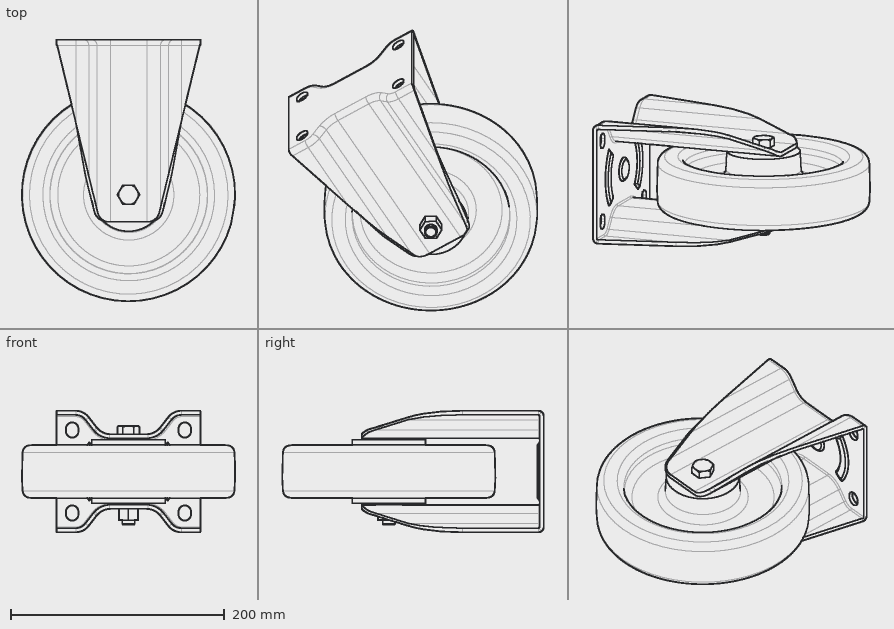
import cadquery as cq
import math


WHEEL_RADIUS = 100.0
AXLE_TO_PLATE_BACK = 245 - WHEEL_RADIUS
TREAD_EDGE_RADIUS = 98.7
SIDE_EDGE_HEIGHT = 23.8
SIDE_CREST_HEIGHT = 25.0
HUB_RADIUS = 34.3
HUB_HALF_LENGTH = 30.0
RIM_MOUTH_RADIUS = 74.2
WEB_HALF_THICKNESS = 5.5
MOULD_DRAFT = math.radians(3)
WHEEL_FILLET = 7.0

SHEET = 4.0
PLATE_WIDTH = 135.0
FORK_HEIGHT = 114.0
SADDLE_HEIGHT = 35.0
SADDLE_HALF_WIDTH = 17.0
SLOPE_ANGLE = math.radians(52)
SHOULDER_START = 49.5
SHOULDER_RADIUS = 15.5
PLATE_BEND_RADIUS = 5.5
TIP_REACH = 25.5
TAPER_START = 2.5
TAPER_SLOPE = 0.243
TIP_CORNER_RADIUS = 11.0

SLOT_SPACING_X = 105.4
SLOT_SPACING_Z = 77.7
SLOT_WIDTH = 11.5
SLOT_LENGTH = 14.0
BEAD_HEIGHT = 2.2
BEAD_INNER_RADIUS = 34.8
BEAD_OUTER_RADIUS = 45.8
BEAD_HALF_ANGLE = math.radians(36.5)
BOSS_RADIUS = 11.3
EMBOSS_CHAMFER = 2.0

BOLT_RADIUS = 6.0
BOLT_END = 50.0
BOLT_END_CHAMFER = 1.0
HEX_ACROSS_FLATS = 18.0
HEX_ACROSS_CORNERS = HEX_ACROSS_FLATS / math.cos(math.radians(30))
HEAD_HEIGHT = 7.5
HEAD_CHAMFER = 1.0
NUT_HEIGHT = 10.5
BUSH_RADIUS = 12.7
BUSH_HALF_LENGTH = SADDLE_HEIGHT - SHEET


def make_wheel():
    """Solid wheel: crowned tread, bulged side walls, thin web and drafted hub."""
    hub_foot = HUB_RADIUS + (HUB_HALF_LENGTH - WEB_HALF_THICKNESS) * math.tan(MOULD_DRAFT)
    rim_foot = RIM_MOUTH_RADIUS - (SIDE_EDGE_HEIGHT - WEB_HALF_THICKNESS) * math.tan(MOULD_DRAFT)
    side_middle = (RIM_MOUTH_RADIUS + TREAD_EDGE_RADIUS) / 2
    wheel = (
        cq.Workplane("XZ")
        .moveTo(BUSH_RADIUS, -HUB_HALF_LENGTH)
        .lineTo(BUSH_RADIUS, HUB_HALF_LENGTH)
        .lineTo(HUB_RADIUS, HUB_HALF_LENGTH)
        .lineTo(hub_foot, WEB_HALF_THICKNESS)
        .lineTo(rim_foot, WEB_HALF_THICKNESS)
        .lineTo(RIM_MOUTH_RADIUS, SIDE_EDGE_HEIGHT)
        .threePointArc((side_middle, SIDE_CREST_HEIGHT), (TREAD_EDGE_RADIUS, SIDE_EDGE_HEIGHT))
        .threePointArc((WHEEL_RADIUS, 0), (TREAD_EDGE_RADIUS, -SIDE_EDGE_HEIGHT))
        .threePointArc((side_middle, -SIDE_CREST_HEIGHT), (RIM_MOUTH_RADIUS, -SIDE_EDGE_HEIGHT))
        .lineTo(rim_foot, -WEB_HALF_THICKNESS)
        .lineTo(hub_foot, -WEB_HALF_THICKNESS)
        .lineTo(HUB_RADIUS, -HUB_HALF_LENGTH)
        .close()
        .revolve(360, (0, 0), (0, 1))
    )
    rounded_radii = (hub_foot, rim_foot, RIM_MOUTH_RADIUS, TREAD_EDGE_RADIUS)

    def is_rounded(edge):
        return edge.geomType() == "CIRCLE" and any(
            math.isclose(edge.radius(), radius, abs_tol=0.0002) for radius in rounded_radii
        )

    return wheel.edges().filter(is_rounded).fillet(WHEEL_FILLET)


def quarter_outline():
    """Quarter of the fork outline in XZ, under the outer face of half the upper leg."""
    top = FORK_HEIGHT / 2
    half_width = PLATE_WIDTH / 2
    sin_slope, cos_slope = math.sin(SLOPE_ANGLE), math.cos(SLOPE_ANGLE)

    slope_top_x = SHOULDER_START - SHOULDER_RADIUS * sin_slope
    slope_top_z = top - SHOULDER_RADIUS * (1 - cos_slope)
    run = slope_top_x - SADDLE_HALF_WIDTH
    drop = slope_top_z - SADDLE_HEIGHT
    saddle_radius = (run * sin_slope - drop * cos_slope) / (1 - cos_slope)
    slope_foot_x = SADDLE_HALF_WIDTH + saddle_radius * sin_slope
    slope_foot_z = SADDLE_HEIGHT + saddle_radius * (1 - cos_slope)

    half_slope = SLOPE_ANGLE / 2
    shoulder_mid_x = SHOULDER_START - SHOULDER_RADIUS * math.sin(half_slope)
    shoulder_mid_z = top - SHOULDER_RADIUS * (1 - math.cos(half_slope))
    saddle_mid_x = SADDLE_HALF_WIDTH + saddle_radius * math.sin(half_slope)
    saddle_mid_z = SADDLE_HEIGHT + saddle_radius * (1 - math.cos(half_slope))

    return (
        cq.Workplane("XZ")
        .lineTo(0, SADDLE_HEIGHT)
        .lineTo(SADDLE_HALF_WIDTH, SADDLE_HEIGHT)
        .threePointArc((saddle_mid_x, saddle_mid_z), (slope_foot_x, slope_foot_z))
        .lineTo(slope_top_x, slope_top_z)
        .threePointArc((shoulder_mid_x, shoulder_mid_z), (SHOULDER_START, top))
        .lineTo(half_width, top)
        .lineTo(half_width, 0)
        .close()
    )


def fork_blank():
    """Solid block bounded by the outer faces of the legs and the plate back."""
    quarter = quarter_outline().extrude(TIP_REACH + AXLE_TO_PLATE_BACK)
    quarter = quarter.translate((0, AXLE_TO_PLATE_BACK, 0))
    half = quarter.union(quarter.mirror("YZ"))
    return half.union(half.mirror("XY")).clean()


def leg_outline():
    """Prism along Z that tapers the legs from the plate to the rounded tip."""
    half_width = PLATE_WIDTH / 2
    taper_y = AXLE_TO_PLATE_BACK - TAPER_START
    tip_half_width = half_width - TAPER_SLOPE * (taper_y + TIP_REACH)
    return (
        cq.Workplane("XY")
        .polyline([
            (-half_width, AXLE_TO_PLATE_BACK),
            (-half_width, taper_y),
            (-tip_half_width, -TIP_REACH),
            (tip_half_width, -TIP_REACH),
            (half_width, taper_y),
            (half_width, AXLE_TO_PLATE_BACK),
        ])
        .close()
        .extrude(FORK_HEIGHT, both=True)
        .edges("|Z and <Y")
        .fillet(TIP_CORNER_RADIUS)
    )


def bent_sheet():
    """Skin of the blank, open at the tip and sides, thickened inwards to the sheet."""
    blank = fork_blank().faces(">Y").edges("not |Z").fillet(PLATE_BEND_RADIUS)
    outer_skin = cq.Shell.makeShell(blank.faces("not(<Y or <X or >X)").vals())
    trimmed_skin = outer_skin.intersect(leg_outline().val())
    sheet = cq.occ_impl.shapes.offset(cq.Shell.makeShell(trimmed_skin.Faces()), -SHEET)
    return cq.Workplane(sheet)


def plate_front():
    """Workplane on the wheel side of the plate, facing the wheel."""
    return cq.Workplane("XZ", origin=(0, AXLE_TO_PLATE_BACK - SHEET, 0))


def plate_bead(side):
    """Raised arc-shaped bead on the left (-1) or right (+1) of the plate."""
    cos_end, sin_end = math.cos(BEAD_HALF_ANGLE), math.sin(BEAD_HALF_ANGLE)
    inner_x, inner_z = side * BEAD_INNER_RADIUS * cos_end, BEAD_INNER_RADIUS * sin_end
    outer_x, outer_z = side * BEAD_OUTER_RADIUS * cos_end, BEAD_OUTER_RADIUS * sin_end
    return (
        plate_front()
        .moveTo(inner_x, -inner_z)
        .lineTo(outer_x, -outer_z)
        .threePointArc((side * BEAD_OUTER_RADIUS, 0), (outer_x, outer_z))
        .lineTo(inner_x, inner_z)
        .threePointArc((side * BEAD_INNER_RADIUS, 0), (inner_x, -inner_z))
        .close()
        .extrude(BEAD_HEIGHT)
        .faces("<Y")
        .chamfer(EMBOSS_CHAMFER)
    )


def plate_boss():
    """Raised round boss at the middle of the plate."""
    return plate_front().circle(BOSS_RADIUS).extrude(BEAD_HEIGHT).faces("<Y").chamfer(EMBOSS_CHAMFER)


def make_fork():
    """Bent sheet with its beads, boss, mounting slots and axle holes."""
    fork = bent_sheet()
    for side in (-1, 1):
        fork = fork.union(plate_bead(side))
    fork = fork.union(plate_boss())
    mounting_slots = (
        plate_front()
        .rarray(SLOT_SPACING_X, SLOT_SPACING_Z, 2, 2)
        .slot2D(SLOT_LENGTH, SLOT_WIDTH, 90)
        .extrude(-SHEET)
    )
    axle_holes = cq.Workplane("XY").circle(BOLT_RADIUS).extrude(FORK_HEIGHT / 2, both=True)
    return fork.cut(mounting_slots).cut(axle_holes)


def make_bush():
    """Tube between the two legs that carries the wheel hub."""
    return (
        cq.Workplane("XY")
        .circle(BUSH_RADIUS)
        .circle(BOLT_RADIUS)
        .extrude(BUSH_HALF_LENGTH, both=True)
    )


def make_bolt():
    """Hexagon bolt through the legs and the bush, with its head on the upper leg."""
    above_leg = cq.Workplane("XY", origin=(0, 0, SADDLE_HEIGHT))
    head = above_leg.polygon(6, HEX_ACROSS_CORNERS).extrude(HEAD_HEIGHT)
    head_round = (
        above_leg.circle(HEX_ACROSS_CORNERS / 2)
        .extrude(HEAD_HEIGHT)
        .faces(">Z")
        .chamfer(HEAD_CHAMFER)
    )
    shank = (
        cq.Workplane("XY", origin=(0, 0, -BOLT_END))
        .circle(BOLT_RADIUS)
        .extrude(BOLT_END + SADDLE_HEIGHT)
        .faces("<Z")
        .chamfer(BOLT_END_CHAMFER)
    )
    return head.intersect(head_round).union(shank)


def make_nut():
    """Hexagon nut under the lower leg, with one corner pointing along -Y."""
    return (
        cq.Workplane("XY", origin=(0, 0, -SADDLE_HEIGHT))
        .transformed(rotate=(0, 0, 30))
        .polygon(6, HEX_ACROSS_CORNERS)
        .circle(BOLT_RADIUS)
        .extrude(-NUT_HEIGHT)
    )


fork = make_fork()
wheel = make_wheel()
bush = make_bush()
bolt = make_bolt()
nut = make_nut()

result = cq.Compound.makeCompound([fork.val(), wheel.val(), bush.val(), bolt.val(), nut.val()])